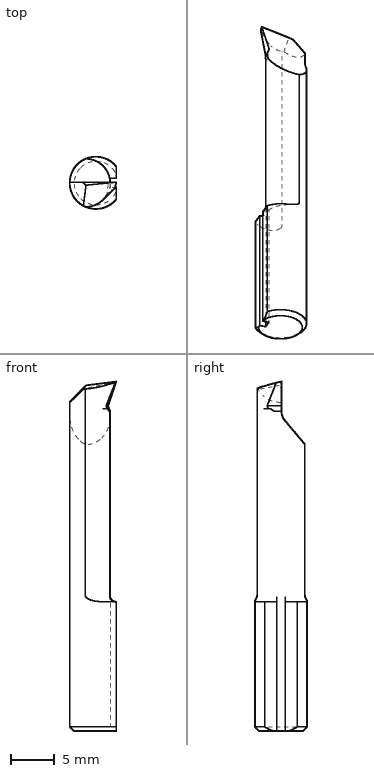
import cadquery as cq
import math

total_length = 40.0
shank_radius = 3.0
flat_x = 2.35
end_chamfer = 0.5
groove_width = 1.0

neck_radius = 2.74
neck_right_x = 1.63
neck_axis_x = neck_right_x - neck_radius
shoulder_z = 14.8
shoulder_fillet = 0.78

face_y = 0.08
ramp_start_z = 32.5
ramp_angle = 50.0
ramp_fillet = 1.5

head_bottom_z = 36.9
wedge_angle = 45.0
tip = cq.Vector(flat_x, face_y, total_length)
side_relief_angle = 8.0
edge_foot_setback = 0.93
edge_foot_drop = 2.8
runout_setback = 0.7
runout_drop = 3.4

top_corner = cq.Vector(-1.12, -0.27, 39.57)
top_rear = cq.Vector(-1.43, -2.6, 39.13)
back_chamfer_foot = cq.Vector(-shank_radius, 0, 37.65)
chip_groove_foot = cq.Vector(-1.12, face_y, 39.25)

clearance = 10.0


def half_space(a, b, c):
    """Large block lying beyond the plane a-b-c, on the side of (b - a) x (c - a)."""
    plane = cq.Plane(origin=a, xDir=b - a, normal=(b - a).cross(c - a))
    return cq.Workplane(plane).rect(2 * clearance, 2 * clearance).extrude(clearance)


def make_shank():
    bar = cq.Workplane("XY").circle(shank_radius).extrude(total_length)
    return bar.faces("<Z").chamfer(end_chamfer)


def full_length_cutter(start_x, width):
    """Block reaching from start_x outward along +X over the whole bar length."""
    block = cq.Workplane("XY").box(clearance, width, total_length, centered=(False, True, False))
    return block.translate((start_x, 0, 0))


def cut_flat_and_groove(body):
    """The groove is as deep as the neck's outermost line, so it runs out flush with the neck."""
    body = body.cut(full_length_cutter(flat_x, clearance))
    return body.cut(full_length_cutter(neck_right_x, groove_width))


def neck_relief():
    """Ring around the neck axis, with a concave fillet at the shoulder."""
    fillet_mid = shoulder_fillet * (1 - math.sqrt(0.5))
    profile = (
        cq.Workplane("XZ")
        .moveTo(neck_radius, total_length)
        .lineTo(neck_radius, shoulder_z + shoulder_fillet)
        .threePointArc(
            (neck_radius + fillet_mid, shoulder_z + fillet_mid),
            (neck_radius + shoulder_fillet, shoulder_z),
        )
        .lineTo(clearance, shoulder_z)
        .lineTo(clearance, total_length)
        .close()
    )
    ring = profile.revolve(360, (0, 0, 0), (0, 1, 0))
    return ring.translate((neck_axis_x, 0, 0))


def make_head():
    """Wedge tangent to the neck round that carries the cutting tip."""
    angle = math.radians(wedge_angle)
    tangent_x = neck_axis_x + neck_radius * math.cos(angle)
    tangent_y = -neck_radius * math.sin(angle)
    outer_x = tangent_x + (face_y - tangent_y) * math.tan(angle)
    outline = [(neck_axis_x, face_y), (tangent_x, tangent_y), (outer_x, face_y)]
    wedge = cq.Workplane("XY").polyline(outline).close().extrude(total_length - head_bottom_z)
    return wedge.translate((0, 0, head_bottom_z))


def ramp_cut():
    """Removes the +Y half of the tip down to the flat face and the ramp."""
    ramp_rise = (shank_radius - face_y) * math.tan(math.radians(ramp_angle))
    outer_rise = (clearance - shank_radius) * math.tan(math.radians(ramp_angle))
    outline = [
        (face_y, total_length + clearance),
        (face_y, ramp_start_z + ramp_rise),
        (clearance, ramp_start_z - outer_rise),
        (clearance, total_length + clearance),
    ]
    block = cq.Workplane("YZ").polyline(outline).close().extrude(clearance, both=True)
    corner = cq.selectors.NearestToPointSelector((0, face_y, ramp_start_z + ramp_rise))
    return block.edges("|X").edges(corner).fillet(ramp_fillet)


def side_relief():
    """Clearance beside the side cutting edge and the notch below it."""
    angle = math.radians(side_relief_angle)
    plane = cq.Plane(
        origin=tip,
        xDir=(math.cos(angle), -math.sin(angle), 0),
        normal=(-math.sin(angle), -math.cos(angle), 0),
    )
    outline = [
        (0, 0),
        (-edge_foot_setback, -edge_foot_drop),
        (-runout_setback, -runout_drop),
        (clearance, -runout_drop),
        (clearance, 0),
    ]
    return cq.Workplane(plane).polyline(outline).close().extrude(clearance, both=True)


result = cut_flat_and_groove(make_shank())
result = result.cut(neck_relief())
result = result.union(make_head())
result = result.cut(ramp_cut())
result = result.cut(side_relief())
result = result.cut(half_space(tip, top_corner, top_rear))
result = result.cut(half_space(top_corner, back_chamfer_foot, top_rear))
result = result.cut(half_space(tip, chip_groove_foot, top_corner))